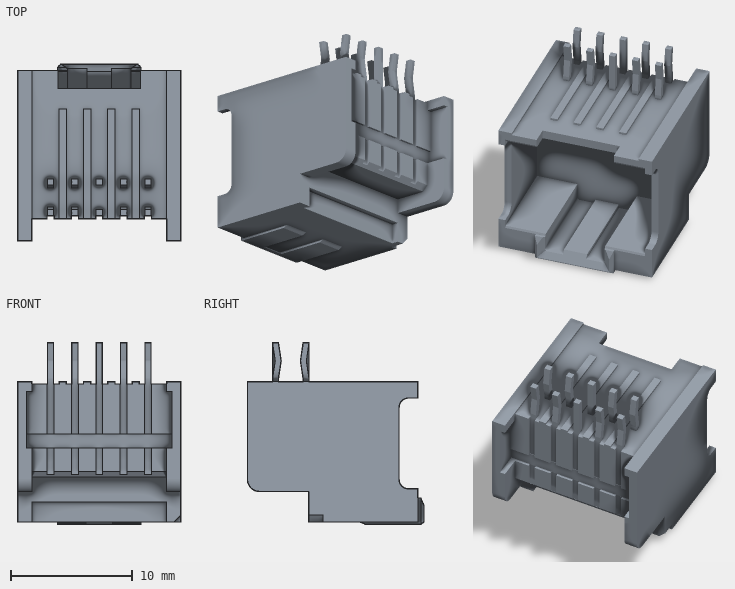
import cadquery as cq

width = 13.4
half_width = width / 2
body_depth = 13.98
body_bottom = 0.18
rail_top = 11.7
deck_top = 11.52
rail_thickness = 1.18
rail_inner_x = half_width - rail_thickness

step_y = 5.02
step_z = 2.68
rail_corner_radius = 1.0
notch_y = 12.45
notch_bottom = 2.92
notch_top = 10.34
notch_radius = 0.75
bevel_size = 0.57

face_y = 1.8
face_bottom = 3.87
face_chamfer = 0.46
side_pocket_x = 5.97
side_pocket_bottom = 6.26
side_pocket_top = 10.88
band_top = 7.42
foot_recess_depth = 0.6
foot_recess_top = 1.82

pin_count = 5
pin_pitch = 2.0
pin_width = 0.52
pin_depth = 0.49
pin_top = 14.9
front_row_y = 2.31
row_spacing = 2.5
rear_row_y = front_row_y + row_spacing
kink_offset = 0.22
kink_height = 2.98
slot_width = 0.57
slot_bottom = 4.1
slot_floor_y = front_row_y - pin_depth / 2
band_step = 0.05
band_floor_y = slot_floor_y - band_step

rib_width = 0.61
rib_end_y = 10.8

wall = 0.6
cavity_start_y = step_y + foot_recess_depth + wall
cavity_bottom = notch_bottom - wall
cavity_top = 10.76
cavity_lead_in_y = 0.09
cavity_lead_in_z = 0.16
deck_notch_half_x = 3.37
deck_notch_y = 12.5

shell_half_x = 3.43
shell_start_y = 9.65
shell_end_y = 14.5
shell_top = 2.16
shell_ramp = 0.4
shell_edge = 0.27
shell_top_drop = 0.64
runner_gap_half_x = 1.07
keyway_half_x = 2.6
keyway_floor = 0.79
keyway_fillet = 0.18
tongue_half_x = 1.01
tongue_height = 0.35
flare_length = 0.37
flare_growth = 0.54


def box(x0, x1, y0, y1, z0, z1):
    """Axis-aligned block between the given limits."""
    return cq.Workplane("XY").box(x1 - x0, y1 - y0, z1 - z0, centered=False).translate((x0, y0, z0))


def extrude_x(points, half_x):
    """Prism from a (Y, Z) outline, centred on X = 0."""
    return cq.Workplane("YZ").polyline(points).close().extrude(half_x, both=True)


def pin_positions():
    """X places of the pins, centred on the housing."""
    return [(i - (pin_count - 1) / 2) * pin_pitch for i in range(pin_count)]


def side_rails():
    """Outer walls with the stepped lower edge and a rounded pin-side corner."""
    rails = extrude_x(
        [(0, rail_top), (0, step_z), (step_y, step_z), (step_y, body_bottom),
         (body_depth, body_bottom), (body_depth, rail_top)],
        half_width,
    )
    rails = rails.edges(cq.NearestToPointSelector((0, 0, step_z))).fillet(rail_corner_radius)
    rails = rails.cut(box(-rail_inner_x, rail_inner_x, 0, body_depth, body_bottom, rail_top))
    pocket = box(-side_pocket_x, side_pocket_x, 0, face_y, side_pocket_bottom, side_pocket_top)
    return rails.cut(pocket)


def corner_bevel():
    """Bevel on the lower +X edge, running from the step to the cavity's inner end."""
    return (
        cq.Workplane("XZ", origin=(0, step_y, 0))
        .moveTo(half_width, body_bottom)
        .lineTo(half_width - bevel_size, body_bottom)
        .lineTo(half_width, body_bottom + bevel_size)
        .close()
        .extrude(step_y - cavity_start_y)
    )


def core():
    """Block between the rails, carrying the pins and the cavity."""
    block = extrude_x(
        [(face_y, deck_top), (face_y, face_bottom + face_chamfer), (face_y + face_chamfer, face_bottom),
         (step_y, face_bottom), (step_y, foot_recess_top), (step_y + foot_recess_depth, foot_recess_top),
         (step_y + foot_recess_depth, body_bottom), (body_depth, body_bottom), (body_depth, deck_top)],
        rail_inner_x,
    )
    for pin_x in pin_positions()[:-1]:
        x = pin_x + pin_pitch / 2
        block = block.union(
            box(x - rib_width / 2, x + rib_width / 2, face_y, rib_end_y, deck_top, rail_top)
        )
    return block


def pin_slots():
    """Vertical slots for the front pins, interrupted by a slightly shallower cross band."""
    cuts = box(-side_pocket_x, side_pocket_x, face_y, band_floor_y, side_pocket_bottom, band_top)
    for x in pin_positions():
        for z0, z1 in ((slot_bottom, side_pocket_bottom), (band_top, rail_top)):
            cuts = cuts.union(box(x - slot_width / 2, x + slot_width / 2, face_y, slot_floor_y, z0, z1))
    return cuts


def keyway_shell():
    """Shell with two ramped runners, bevelled at the mating end."""
    shell = extrude_x(
        [(shell_start_y - shell_ramp, body_bottom), (shell_start_y, 0), (shell_end_y - shell_edge, 0),
         (shell_end_y, body_bottom), (shell_end_y, shell_top - shell_top_drop),
         (shell_end_y - shell_edge, shell_top), (shell_start_y, shell_top)],
        shell_half_x,
    )
    for side in (-1, 1):
        corner = (
            cq.Workplane("XY")
            .moveTo(side * shell_half_x, shell_end_y)
            .lineTo(side * (shell_half_x - shell_edge), shell_end_y)
            .lineTo(side * shell_half_x, shell_end_y - shell_edge)
            .close()
            .extrude(shell_top)
        )
        shell = shell.cut(corner)
    gap = extrude_x(
        [(shell_start_y - shell_ramp, 0), (body_depth - body_bottom, 0), (body_depth, body_bottom),
         (shell_start_y - shell_ramp, body_bottom)],
        runner_gap_half_x,
    )
    return shell.cut(gap)


def mating_cavity():
    """Open cavity with a lead-in along its lower and upper edges."""
    return extrude_x(
        [(cavity_start_y, cavity_bottom), (body_depth - cavity_lead_in_y, cavity_bottom),
         (body_depth, cavity_bottom - cavity_lead_in_z), (body_depth, cavity_top + cavity_lead_in_z),
         (body_depth - cavity_lead_in_y, cavity_top), (cavity_start_y, cavity_top)],
        half_width - wall,
    )


def side_notch():
    """Rounded notch through both side walls at the mating end."""
    notch = box(-half_width, half_width, notch_y, shell_end_y, notch_bottom, notch_top)
    return notch.edges("|X and <Y").fillet(notch_radius)


def keyway_mouth():
    """Channel mouth widening evenly towards the mating end."""
    height = cavity_bottom - keyway_floor
    start_y = shell_end_y - flare_length

    def section(plane, growth):
        half = keyway_half_x + growth
        return plane.polyline([(-half, height), (half, height), (half, -growth), (-half, -growth)]).close()

    inner = section(cq.Workplane("XZ", origin=(0, start_y, keyway_floor)), 0)
    return section(inner.workplane(offset=-flare_length), flare_growth).loft(ruled=True)


def keyway():
    """Channel below the cavity with a raised centre tongue and a flared mouth."""
    channel = box(-keyway_half_x, keyway_half_x, cavity_start_y, shell_end_y, keyway_floor, cavity_bottom)
    channel = channel.edges("|Y and <Z").fillet(keyway_fillet)
    tongue = box(
        -tongue_half_x, tongue_half_x, cavity_start_y, shell_end_y, keyway_floor, keyway_floor + tongue_height
    )
    channel = channel.cut(tongue)
    tongue_slope_length = tongue_height * flare_length / flare_growth
    mouth_y = shell_end_y - flare_length
    tongue_top = keyway_floor + tongue_height
    tongue_slope = extrude_x(
        [(mouth_y - tongue_slope_length, tongue_top), (mouth_y, keyway_floor), (mouth_y, tongue_top)],
        tongue_half_x,
    )
    return channel.union(tongue_slope).union(keyway_mouth())


def pin(x, y, offset):
    """Rectangular pin; a non-zero offset bows it along Y above the deck."""
    near = y - pin_depth / 2
    far = y + pin_depth / 2
    bend_start = pin_top - kink_height
    bend_mid = pin_top - kink_height / 2
    outline = [(near, cavity_top), (near, bend_start), (near + offset, bend_mid), (near, pin_top),
               (far, pin_top), (far + offset, bend_mid), (far, bend_start), (far, cavity_top)]
    return extrude_x(outline, pin_width / 2).translate((x, 0, 0))


deck_notch = box(-deck_notch_half_x, deck_notch_half_x, deck_notch_y, body_depth, cavity_top, deck_top)

result = side_rails().union(core()).union(keyway_shell()).cut(pin_slots())
result = result.cut(mating_cavity()).cut(keyway()).cut(side_notch()).cut(deck_notch).cut(corner_bevel())

for x in pin_positions():
    bow = 0 if x == 0 else kink_offset
    result = result.union(pin(x, front_row_y, bow))
    result = result.union(pin(x, rear_row_y, -bow))